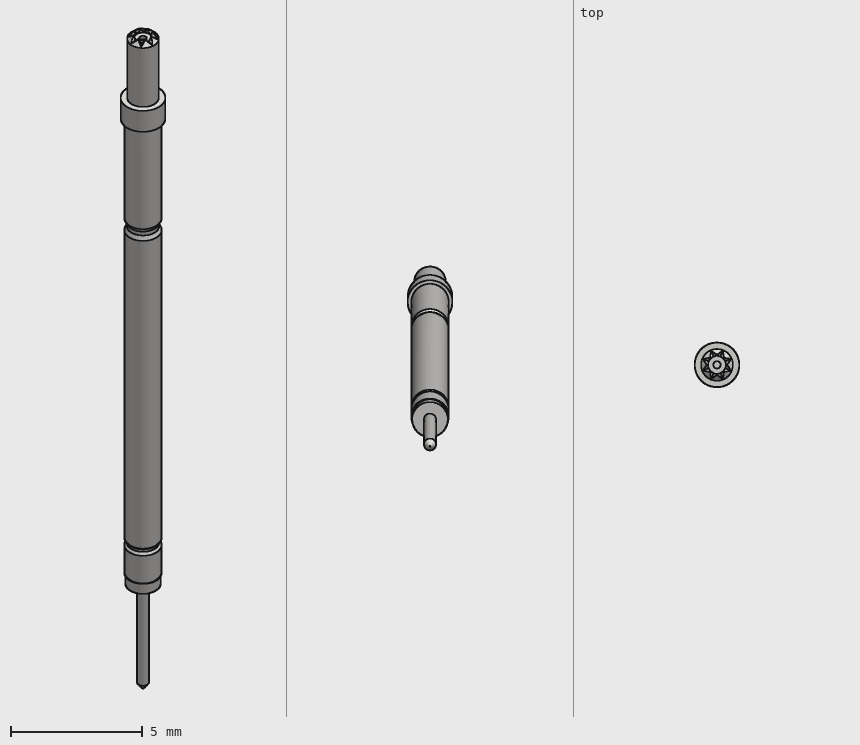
import cadquery as cq

total_length = 31.0

tail_cone_height = 0.3
plug_bottom = 5.0
plug_top = 5.5
lower_groove_bottom = 6.82
lower_groove_top = 7.15
upper_groove_bottom = 21.73
upper_groove_top = 22.3
collar_bottom = 27.0
collar_top = 28.0

collar_diameter = 1.7
barrel_diameter = 1.43
plug_diameter = 1.35
groove_depth = 0.1
groove_slope_share = 1 / 3
tail_diameter = 0.45
tail_tip_diameter = 0.03
plunger_diameter = 1.2

seat_depth = 4.65
crown_chamfer = 0.22
tooth_count = 8
notch_width = 0.28
notch_depth = 0.2
dish_diameter = 0.68
dimple_diameter = 0.28
dimple_depth = 0.15

seat_floor = collar_top - seat_depth


def cylinder(diameter, bottom, top):
    """Upright cylinder on the Z axis between two heights."""
    return cq.Workplane("XY").workplane(offset=bottom).circle(diameter / 2).extrude(top - bottom)


def crimp_groove(bottom, top):
    """Ring with sloped ends that cuts a crimp groove around the barrel."""
    outer = barrel_diameter / 2
    inner = outer - groove_depth
    slope_height = (top - bottom) * groove_slope_share
    outline = [
        (outer, bottom),
        (inner, bottom + slope_height),
        (inner, top - slope_height),
        (outer, top),
    ]
    return cq.Workplane("XZ").polyline(outline).close().revolve(360, (0, 0), (0, 1))


def make_tail():
    """Thin contact tail with a conical point at its lower end."""
    outline = [
        (0, 0),
        (tail_tip_diameter / 2, 0),
        (tail_diameter / 2, tail_cone_height),
        (tail_diameter / 2, plug_bottom),
        (0, plug_bottom),
    ]
    return cq.Workplane("XZ").polyline(outline).close().revolve(360, (0, 0), (0, 1))


def make_receptacle():
    """Barrel with a press collar, two crimp grooves, an end plug and the tail."""
    body = cylinder(barrel_diameter, plug_top, collar_top)
    body = body.union(cylinder(plug_diameter, plug_bottom, plug_top))
    body = body.union(cylinder(collar_diameter, collar_bottom, collar_top))
    body = body.union(make_tail())
    body = body.cut(crimp_groove(lower_groove_bottom, lower_groove_top))
    body = body.cut(crimp_groove(upper_groove_bottom, upper_groove_top))
    return body.cut(cylinder(plunger_diameter, seat_floor, collar_top))


def crown_notch(angle):
    """V-shaped groove across the plunger end, through its centre."""
    outline = [
        (-notch_width / 2, total_length),
        (0, total_length - notch_depth),
        (notch_width / 2, total_length),
    ]
    groove = cq.Workplane("XZ").polyline(outline).close().extrude(plunger_diameter, both=True)
    return groove.rotate((0, 0, 0), (0, 0, 1), angle)


def make_plunger():
    """Plunger with a chamfered, serrated crown around a dished centre."""
    body = cylinder(plunger_diameter, seat_floor, total_length)
    body = body.faces(">Z").chamfer(crown_chamfer)
    pitch = 360 / tooth_count
    first_notch = pitch / 2
    for index in range(tooth_count // 2):
        body = body.cut(crown_notch(first_notch + index * pitch))
    dish_floor = total_length - notch_depth
    body = body.cut(cylinder(dish_diameter, dish_floor, total_length))
    return body.cut(cylinder(dimple_diameter, dish_floor - dimple_depth, dish_floor))


receptacle = make_receptacle()
plunger = make_plunger()

result = cq.Compound.makeCompound([receptacle.val(), plunger.val()])